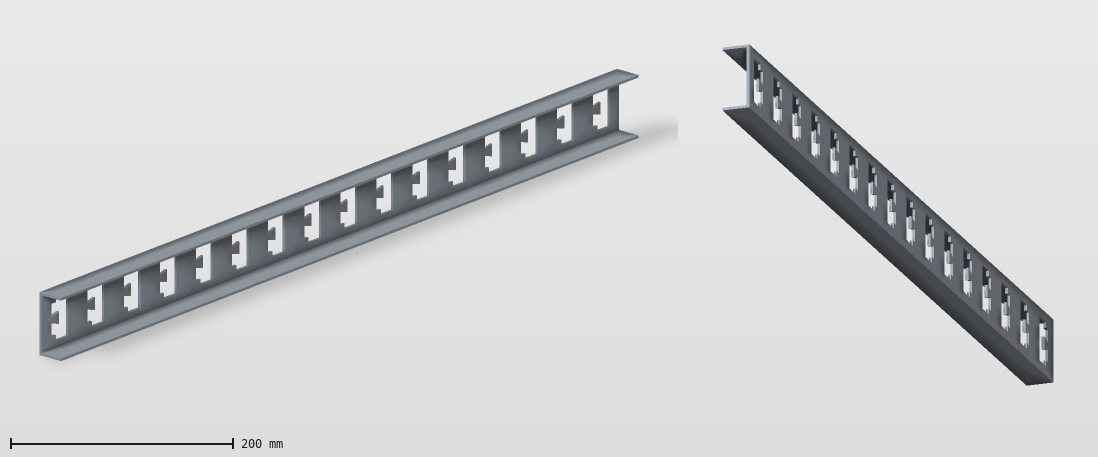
import cadquery as cq

length = 800.0
height = 60.0
depth = 26.0
wall = 2.5

slot_count = 16
slot_pitch = length / slot_count
slot_height = 42.0
straight_side_offset = 12.0
step_offset = 5.0
bay_height = 31.0
bay_depth = 6.0

tip_offset = 1.0
tip_height = 12.0
root_height = 6.0


def channel():
    outer = cq.Workplane("XY").box(depth, length, height)
    inner = (
        cq.Workplane("XY")
        .box(depth, length, height - 2 * wall)
        .translate((wall, 0, 0))
    )
    return outer.cut(inner)


def slot(pitch_middle):
    """Cutter for one slot around this Y, with its bay facing -Y."""
    straight_y = pitch_middle + straight_side_offset
    step_y = pitch_middle - step_offset
    bay_y = step_y - bay_depth
    tip_y = pitch_middle - tip_offset
    upper_outline = [
        (straight_y, slot_height / 2),
        (step_y, slot_height / 2),
        (step_y, bay_height / 2),
        (bay_y, bay_height / 2),
        (bay_y, root_height / 2),
        (tip_y, tip_height / 2),
    ]
    lower_outline = [(y, -z) for y, z in reversed(upper_outline)]
    return (
        cq.Workplane("YZ", origin=(-depth / 2, 0, 0))
        .polyline(upper_outline + lower_outline)
        .close()
        .extrude(wall)
    )


result = channel()
for index in range(slot_count):
    pitch_middle = length / 2 - (index + 0.5) * slot_pitch
    result = result.cut(slot(pitch_middle))